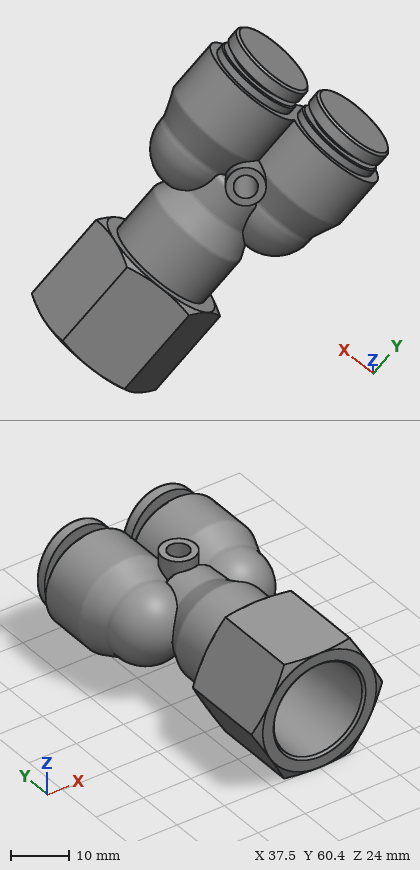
import cadquery as cq
import math


NUT_ACROSS_FLATS = 24.0
NUT_ACROSS_CORNERS = NUT_ACROSS_FLATS / math.cos(math.pi / 6)
NUT_LENGTH = 19.0
NUT_CHAMFER_HEIGHT = 0.8
BORE_MOUTH_DIAMETER = 19.5
BORE_START_DIAMETER = 18.6
BORE_FLOOR_DIAMETER = 17.6
BORE_DEPTH = 17.3
PASSAGE_DIAMETER = 8.0

TUBE_DIAMETER = 19.5
NECK_DIAMETER = 15.45
STEM_CONE_START = 28.95
STEM_CONE_END = 33.9
STEM_END = 40.05
STEM_END_ROUNDING = 1.2
ARM_SPACING = 18.0
ARM_DOME_CENTER = 39.1
ARM_CONE_START = 40.05
ARM_CONE_END = 45.05
ARM_END = 55.1
BLEND_RADIUS = 1.0
BOSS_DIAMETER = 7.0
BOSS_HOLE_DIAMETER = 4.2
BOSS_CENTER = 42.0

RING_DIAMETER = 16.5
RING_END = 56.7
RING_CHAMFER = 0.25
SLEEVE_NECK_DIAMETER = 11.7
FLANGE_WIDTH = 16.0
FLANGE_HEIGHT = 18.65
FLANGE_START = 57.85
SLEEVE_END = 60.4
FLANGE_CHAMFER = 0.4

ARM_POSITIONS = (-ARM_SPACING / 2, ARM_SPACING / 2)


def section_at(y):
    """Workplane across the nut axis at the given Y, extruding towards +Y."""
    return cq.Workplane(cq.Plane(origin=(0, y, 0), xDir=(1, 0, 0), normal=(0, 1, 0)))


def revolve_about_y(profile):
    """Full turn of a closed XY profile about the Y axis."""
    return profile.close().revolve(360, (0, 0, 0), (0, 1, 0))


def make_chamfer_limit():
    """Turned blank whose cones trim the corners at both ends of the hexagon."""
    flat_radius = NUT_ACROSS_FLATS / 2
    corner_radius = NUT_ACROSS_CORNERS / 2
    return revolve_about_y(
        cq.Workplane("XY")
        .lineTo(flat_radius, 0)
        .lineTo(corner_radius, NUT_CHAMFER_HEIGHT)
        .lineTo(corner_radius, NUT_LENGTH - NUT_CHAMFER_HEIGHT)
        .lineTo(flat_radius, NUT_LENGTH)
        .lineTo(0, NUT_LENGTH)
    )


def make_nut_cavity():
    """Chamfered, tapered bore followed by the smaller passage."""
    mouth_radius = BORE_MOUTH_DIAMETER / 2
    start_radius = BORE_START_DIAMETER / 2
    mouth_depth = mouth_radius - start_radius
    passage_radius = PASSAGE_DIAMETER / 2
    return revolve_about_y(
        cq.Workplane("XY")
        .lineTo(mouth_radius, 0)
        .lineTo(start_radius, mouth_depth)
        .lineTo(BORE_FLOOR_DIAMETER / 2, BORE_DEPTH)
        .lineTo(passage_radius, BORE_DEPTH)
        .lineTo(passage_radius, NUT_LENGTH)
        .lineTo(0, NUT_LENGTH)
    )


def make_nut():
    hexagon = section_at(0).polygon(6, NUT_ACROSS_CORNERS).extrude(NUT_LENGTH)
    return hexagon.intersect(make_chamfer_limit()).cut(make_nut_cavity())


def make_tapered_tube(open_end, cone_wide_end, cone_narrow_end, closed_end, end_rounding):
    """Tube that narrows through a blended cone to a neck with a rounded closed end."""
    tube_radius = TUBE_DIAMETER / 2
    neck_radius = NECK_DIAMETER / 2
    toward_open_end = math.copysign(1, open_end - closed_end)
    arc_inset = end_rounding * (1 - math.sqrt(0.5))
    flat_radius = neck_radius - end_rounding
    outline = (
        cq.Workplane("XY")
        .moveTo(0, open_end)
        .lineTo(tube_radius, open_end)
        .lineTo(tube_radius, cone_wide_end)
        .lineTo(neck_radius, cone_narrow_end)
        .lineTo(neck_radius, closed_end + toward_open_end * end_rounding)
        .threePointArc(
            (neck_radius - arc_inset, closed_end + toward_open_end * arc_inset),
            (flat_radius, closed_end),
        )
    )
    if flat_radius > 0:
        outline = outline.lineTo(0, closed_end)
    tube = revolve_about_y(outline)
    wide_rim = cq.selectors.NearestToPointSelector((0, cone_wide_end, 0))
    narrow_rim = cq.selectors.NearestToPointSelector((0, cone_narrow_end, 0))
    return tube.edges("%CIRCLE").edges(wide_rim + narrow_rim).fillet(BLEND_RADIUS)


def make_body():
    """Stem, two arms and the cross-drilled mounting boss between them."""
    arm_dome_radius = NECK_DIAMETER / 2
    arm_tip = ARM_DOME_CENTER - arm_dome_radius
    body = make_tapered_tube(NUT_LENGTH, STEM_CONE_START, STEM_CONE_END, STEM_END, STEM_END_ROUNDING)
    arm = make_tapered_tube(ARM_END, ARM_CONE_END, ARM_CONE_START, arm_tip, arm_dome_radius)
    for x in ARM_POSITIONS:
        body = body.union(arm.translate((x, 0, 0)))
    boss_base = cq.Workplane("XY", origin=(0, BOSS_CENTER, 0))
    boss = boss_base.circle(BOSS_DIAMETER / 2).extrude(TUBE_DIAMETER / 2, both=True)
    boss_hole = boss_base.circle(BOSS_HOLE_DIAMETER / 2).extrude(TUBE_DIAMETER / 2, both=True)
    return body.union(boss).cut(boss_hole)


def make_guide_ring(x):
    """Ring seated on the arm end, around the neck of the release sleeve."""
    ring = section_at(ARM_END).circle(RING_DIAMETER / 2).extrude(RING_END - ARM_END)
    ring = ring.faces(">Y").chamfer(RING_CHAMFER)
    ring = ring.cut(section_at(ARM_END).circle(SLEEVE_NECK_DIAMETER / 2).extrude(RING_END - ARM_END))
    return ring.translate((x, 0, 0))


def make_release_sleeve(x):
    """Round neck through the guide ring, with an oval flange to press on."""
    neck = section_at(ARM_END).circle(SLEEVE_NECK_DIAMETER / 2).extrude(FLANGE_START - ARM_END)
    flange = (
        section_at(FLANGE_START)
        .ellipse(FLANGE_WIDTH / 2, FLANGE_HEIGHT / 2)
        .extrude(SLEEVE_END - FLANGE_START)
        .faces(">Y")
        .chamfer(FLANGE_CHAMFER)
    )
    return neck.union(flange).translate((x, 0, 0))


nut = make_nut()
body = make_body()
guide_rings = [make_guide_ring(x).val() for x in ARM_POSITIONS]
release_sleeves = [make_release_sleeve(x).val() for x in ARM_POSITIONS]

result = cq.Compound.makeCompound([nut.val(), body.val(), *guide_rings, *release_sleeves])